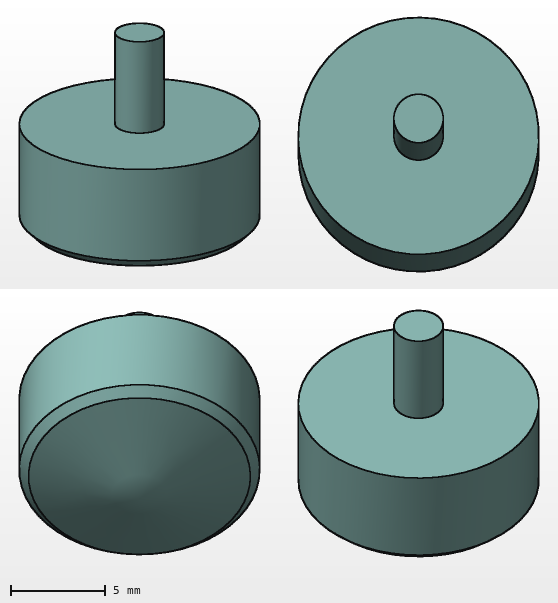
import cadquery as cq

total_height = 12.7
body_diameter = 12.7
stem_diameter = 2.6
stem_length = 5.21
body_length = 5.21
chamfer = 0.5

body_radius = body_diameter / 2
stem_radius = stem_diameter / 2
body_top = total_height - stem_length
wall_bottom = body_top - body_length
cone_base = wall_bottom - chamfer

profile = (
    cq.Workplane("XZ")
    .moveTo(0, 0)
    .lineTo(body_radius - chamfer, cone_base)
    .lineTo(body_radius, wall_bottom)
    .lineTo(body_radius, body_top)
    .lineTo(stem_radius, body_top)
    .lineTo(stem_radius, total_height)
    .lineTo(0, total_height)
    .close()
)

result = profile.revolve(360, (0, 0, 0), (0, 1, 0))